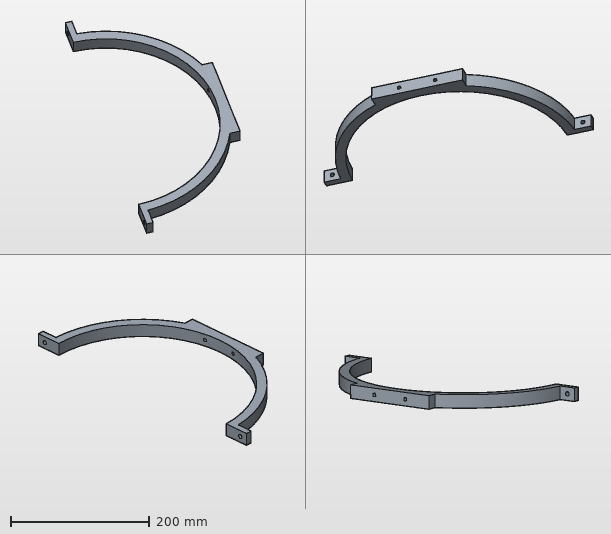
import cadquery as cq

overall_width = 410.0
overall_depth = 181.2
height = 20.0

inner_radius = 165.0
outer_radius = 180.0

foot_thickness = 10.0
pad_width = 140.0

foot_hole_diameter = 6.0
foot_hole_spacing = 385.0
pad_hole_diameter = 5.0
pad_hole_spacing = 55.5


def block(width, depth):
    """Full-height block centred on X that starts at y = 0."""
    return cq.Workplane("XY").box(width, depth, height, centered=(True, False, True))


def hole_pair(diameter, spacing):
    """Two cylinders along +Y, placed symmetrically about the YZ plane."""
    half_spacing = spacing / 2
    return (
        cq.Workplane("XZ")
        .pushPoints([(-half_spacing, 0), (half_spacing, 0)])
        .circle(diameter / 2)
        .extrude(-overall_depth)
    )


def cylinder(radius):
    """Full-height cylinder about the band axis."""
    return cq.Workplane("XY", origin=(0, 0, -height / 2)).circle(radius).extrude(height)


half_disc = cylinder(outer_radius).intersect(block(overall_width, overall_depth))
feet = block(overall_width, foot_thickness)
pad = block(pad_width, overall_depth)
body = half_disc.union(feet).union(pad)

result = (
    body.cut(cylinder(inner_radius))
    .cut(hole_pair(foot_hole_diameter, foot_hole_spacing))
    .cut(hole_pair(pad_hole_diameter, pad_hole_spacing))
)